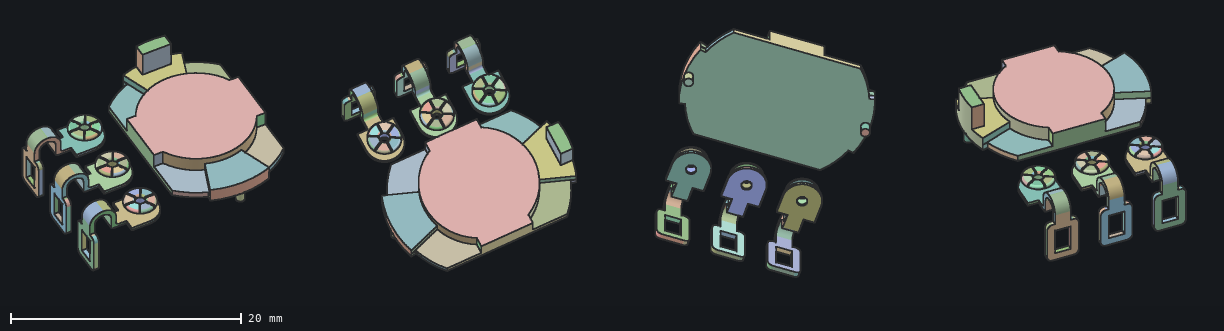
import cadquery as cq
import math

base_radius = 8.0
base_depth = 11.0
base_thickness = 0.6

disc_diameter = 10.5
disc_top = 2.0
bridge_width = 5.0

arm_radius = 8.5
arm_half_angle = 20.0
arm_top = 1.34
foot_side_angle = 11.0

post_length = 1.28
post_width = 2.83
post_top = 3.8

pin_diameter = 0.8
pin_length = 1.0

terminal_count = 3
terminal_pitch = 5.08
strip_width = 1.49

eye_center_y = -8.25
plate_width = 3.5
plate_top = -pin_length
plate_thickness = 0.3

rivet_hole_diameter = 0.9
rivet_stem_diameter = 1.0
rivet_head_diameter = 3.0
rivet_head_top = 0.2
rivet_head_thickness = 0.3
rivet_head_fillet = 0.2

groove_count = 6
groove_width = 0.1
groove_depth = 0.2

sheet = 0.5
hook_outer_y = -13.6
hook_inner_y = -11.0
hook_flat = 0.1
hook_spring_z = 0.0
bend_inner_radius = 0.25
bend_outer_radius = 0.2

frame_width = 3.0
frame_height = 4.01
frame_corner_radius = 0.5
window_width = strip_width
window_height = 2.5


def box_between(x_min, x_max, y_min, y_max, z_min, z_max):
    """Box given by its limits along the three axes."""
    size = (x_max - x_min, y_max - y_min, z_max - z_min)
    return cq.Workplane("XY").box(*size, centered=False).translate((x_min, y_min, z_min))


def cylinder(diameter, z_min, z_max, x=0.0, y=0.0):
    """Upright cylinder between two levels."""
    return cq.Workplane("XY", origin=(x, y, z_min)).circle(diameter / 2).extrude(z_max - z_min)


def arm_layer(side, side_angle, z_min, z_max):
    """Straight-sided block towards +X (side 1) or -X (side -1), not yet trimmed to the arm radius.

    Its sides cross the arm radius at the arm corners, whatever their slope.
    """
    corner_x = arm_radius * math.cos(math.radians(arm_half_angle))
    corner_y = arm_radius * math.sin(math.radians(arm_half_angle))
    slope = math.tan(math.radians(side_angle))
    root_x = disc_diameter / 4
    root_y = corner_y - (corner_x - root_x) * slope
    end_y = corner_y + (arm_radius - corner_x) * slope
    outline = [
        (side * root_x, -root_y),
        (side * arm_radius, -end_y),
        (side * arm_radius, end_y),
        (side * root_x, root_y),
    ]
    return cq.Workplane("XY", origin=(0, 0, z_min)).polyline(outline).close().extrude(z_max - z_min)


def make_arms():
    """Both arms, with the post on the -X one, all trimmed to the arm radius."""
    arms = box_between(
        -arm_radius, -arm_radius + post_length, -post_width / 2, post_width / 2, 0, post_top
    )
    for side in (-1, 1):
        arms = arms.union(arm_layer(side, foot_side_angle, 0, base_thickness))
        arms = arms.union(arm_layer(side, arm_half_angle, base_thickness, arm_top))
    return arms.intersect(cylinder(2 * arm_radius, 0, post_top))


def make_base():
    """Round plate with two flat sides."""
    plate = cylinder(2 * base_radius, 0, base_thickness)
    flats = box_between(-base_radius, base_radius, -base_depth / 2, base_depth / 2, 0, base_thickness)
    return plate.intersect(flats)


def make_housing():
    disc = cylinder(disc_diameter, 0, disc_top)
    bridge = box_between(
        -bridge_width / 2, bridge_width / 2, -base_depth / 2, base_depth / 2, 0, disc_top
    )
    housing = make_base().union(disc).union(bridge).union(make_arms())
    pin_x = arm_radius - pin_diameter / 2
    for side in (-1, 1):
        housing = housing.union(cylinder(pin_diameter, -pin_length, 0, x=side * pin_x))
    return housing


def make_eye_plate():
    """Flat plate with a round end, centred on the rivet."""
    half_width = plate_width / 2
    return (
        cq.Workplane("XY", origin=(0, eye_center_y, plate_top - plate_thickness))
        .moveTo(-half_width, -half_width)
        .lineTo(half_width, -half_width)
        .lineTo(half_width, 0)
        .threePointArc((0, half_width), (-half_width, 0))
        .close()
        .extrude(plate_thickness)
    )


def make_rivet():
    """Stem and grooved head, with the hole bored through the head but not yet through the stem."""
    head_bottom = rivet_head_top - rivet_head_thickness
    stem = cylinder(rivet_stem_diameter, plate_top, head_bottom, y=eye_center_y)
    head = cylinder(rivet_head_diameter, head_bottom, rivet_head_top, y=eye_center_y)
    hole = cylinder(rivet_hole_diameter, head_bottom, rivet_head_top, y=eye_center_y)
    head = head.cut(hole).faces(">Z").edges().fillet(rivet_head_fillet)
    for index in range(groove_count // 2):
        groove = (
            cq.Workplane("XY")
            .box(groove_width, rivet_head_diameter, groove_depth)
            .rotate((0, 0, 0), (0, 0, 1), index * 360 / groove_count)
            .translate((0, eye_center_y, rivet_head_top - groove_depth / 2))
        )
        head = head.cut(groove)
    return stem.union(head)


def make_hook_strip():
    """Strip that leaves the plate, bends up and arches over to the solder frame."""
    outer_radius = (hook_inner_y - hook_outer_y - hook_flat) / 2
    inner_radius = outer_radius - sheet
    apex_front_y = hook_outer_y + outer_radius
    apex_back_y = hook_inner_y - outer_radius
    plate_bottom = plate_top - plate_thickness
    plate_end_y = eye_center_y - plate_width / 2
    leg_front_y = hook_inner_y - sheet
    outer_apex_z = hook_spring_z + outer_radius
    inner_apex_z = hook_spring_z + inner_radius

    def on_arc(center_y, radius, direction):
        """Point half way along an upper quarter arc of the hook."""
        offset = radius * math.sqrt(0.5)
        return (center_y + direction * offset, hook_spring_z + offset)

    strip = (
        cq.Workplane("YZ", origin=(-strip_width / 2, 0, 0))
        .moveTo(plate_end_y, plate_bottom)
        .lineTo(leg_front_y, plate_bottom)
        .lineTo(leg_front_y, hook_spring_z)
        .threePointArc(on_arc(apex_back_y, inner_radius, 1), (apex_back_y, inner_apex_z))
        .lineTo(apex_front_y, inner_apex_z)
        .threePointArc(on_arc(apex_front_y, inner_radius, -1), (hook_outer_y + sheet, hook_spring_z))
        .lineTo(hook_outer_y + sheet, plate_top)
        .lineTo(hook_outer_y, plate_top)
        .lineTo(hook_outer_y, hook_spring_z)
        .threePointArc(on_arc(apex_front_y, outer_radius, -1), (apex_front_y, outer_apex_z))
        .lineTo(apex_back_y, outer_apex_z)
        .threePointArc(on_arc(apex_back_y, outer_radius, 1), (hook_inner_y, hook_spring_z))
        .lineTo(hook_inner_y, plate_top)
        .lineTo(plate_end_y, plate_top)
        .close()
        .extrude(strip_width)
    )
    inner_corner = cq.selectors.NearestToPointSelector((0, hook_inner_y, plate_top))
    outer_corner = cq.selectors.NearestToPointSelector((0, leg_front_y, plate_bottom))
    return strip.edges(inner_corner).fillet(bend_inner_radius).edges(outer_corner).fillet(bend_outer_radius)


def make_solder_frame():
    """Upright frame with rounded corners and a rectangular window."""
    center = (0, hook_outer_y + sheet / 2, plate_top - frame_height / 2)
    frame = cq.Workplane("XY").box(frame_width, sheet, frame_height).edges("|Y").fillet(frame_corner_radius)
    window = cq.Workplane("XY").box(window_width, sheet, window_height)
    return frame.cut(window).translate(center)


def make_terminal(center_x):
    hole = cylinder(
        rivet_hole_diameter, plate_top - plate_thickness, rivet_head_top, y=eye_center_y
    )
    terminal = make_eye_plate().union(make_hook_strip()).union(make_solder_frame())
    terminal = terminal.union(make_rivet()).cut(hole)
    return terminal.translate((center_x, 0, 0))


housing = make_housing()

terminals = []
for index in range(terminal_count):
    center_x = (index - (terminal_count - 1) / 2) * terminal_pitch
    terminals.append(make_terminal(center_x))

result = cq.Compound.makeCompound([housing.val(), *[terminal.val() for terminal in terminals]])